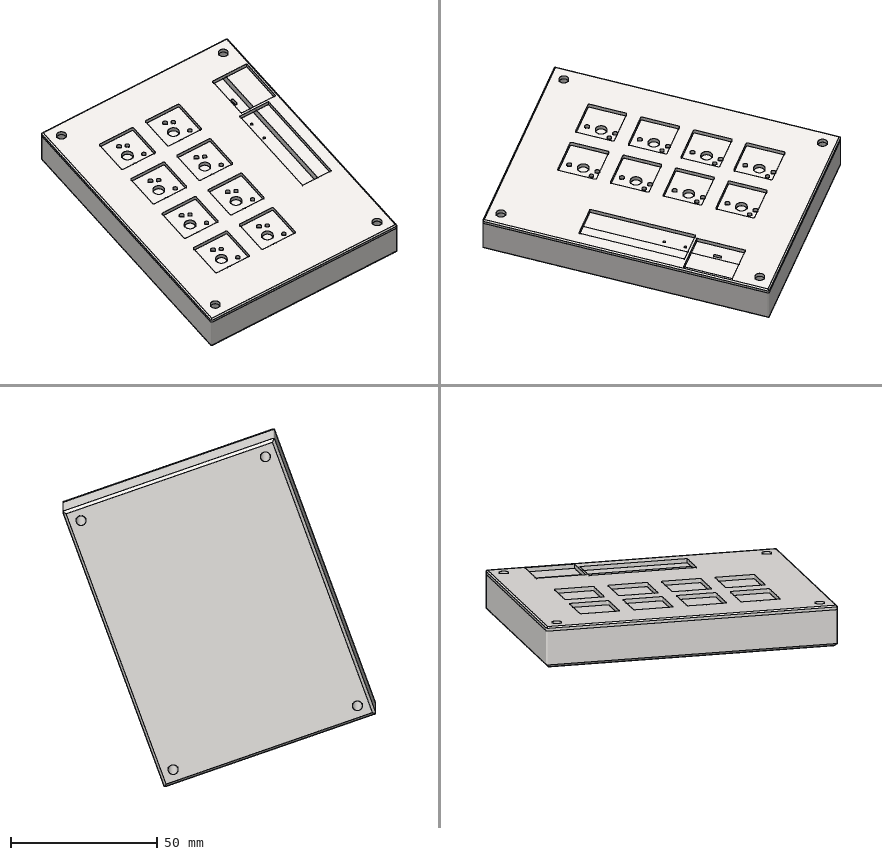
import cadquery as cq
length = 103.5
width = 77.0
height = 14.5
plate_thickness = 1.5
case_height = height - plate_thickness
corner_radius = 0.5
plate_chamfer = 0.5
case_chamfer = 1.0

screw_diameter = 3.4
screw_inset = 5.0

key_columns = 4
key_rows = 2
key_pitch = 19.05
grid_center_x = -0.5
grid_center_y = -8.7
key_cutout = 14.0
key_cutout_radius = 0.5

switch_holes = [
    (4.0, 0.0, 0.0),
    (1.7, -5.08, 0.0),
    (1.7, 5.08, 0.0),
    (1.5, -3.81, 2.54),
    (1.5, 2.54, 5.08),
]

controller_length = 17.6
controller_width = 14.2
controller_x = -29.3
controller_y = 30.2
display_length = 38.2
display_width = 11.9
display_x = -0.55
display_y = 27.8

wall_x = 8.5
wall_y = 3.0
floor_thickness = 3.0
pocket_length = length - 2 * wall_x
pocket_width = width - 2 * wall_y
ledge_front_y = 28.9
ledge_right_x = 19.3

board_thickness = 1.6
board_top_z = 10.9
board_clearance = 0.4
slot_length = 2.8
slot_width = 1.0
slot_x = -28.8
slot_y = 25.7
lead_diameter = 0.8
lead_spacing = 7.62
lead_center_x = -13.2
lead_y = 25.0

key_centers = [
    (
        grid_center_x + (column - (key_columns - 1) / 2) * key_pitch,
        grid_center_y + (row - (key_rows - 1) / 2) * key_pitch,
    )
    for column in range(key_columns)
    for row in range(key_rows)
]


def block(size_x, size_y, size_z, center_x, center_y, bottom_z):
    """A box placed by the centre of its bottom face."""
    box = cq.Workplane("XY").box(size_x, size_y, size_z, centered=(True, True, False))
    return box.translate((center_x, center_y, bottom_z))


def screw_cutters():
    """Four full-height cylinders at the enclosure corners."""
    corners = cq.Workplane("XY").rect(length - 2 * screw_inset, width - 2 * screw_inset, forConstruction=True)
    return corners.vertices().circle(screw_diameter / 2).extrude(height)


def pocket_volume(bottom_z, depth, clearance):
    """The L-shaped inside of the case, shrunk all around by a clearance."""
    half_x = pocket_length / 2 - clearance
    half_y = pocket_width / 2 - clearance
    notch_x = ledge_right_x + clearance
    notch_y = ledge_front_y - clearance
    outline = [
        (-half_x, -half_y),
        (half_x, -half_y),
        (half_x, half_y),
        (notch_x, half_y),
        (notch_x, notch_y),
        (-half_x, notch_y),
    ]
    return cq.Workplane("XY").workplane(offset=bottom_z).polyline(outline).close().extrude(depth)


def build_case():
    """Open tray with a chamfered bottom edge."""
    body = block(length, width, case_height, 0, 0, 0)
    body = body.faces("<Z").edges().chamfer(case_chamfer)
    body = body.edges("|Z").fillet(corner_radius)
    body = body.cut(pocket_volume(floor_thickness, case_height - floor_thickness, 0))
    return body.cut(screw_cutters())


def build_plate():
    """Cover plate with key cutouts and the two windows."""
    body = block(length, width, plate_thickness, 0, 0, case_height)
    body = body.faces(">Z").edges().chamfer(plate_chamfer)
    body = body.edges("|Z").fillet(corner_radius)
    keys = cq.Workplane("XY").pushPoints(key_centers).rect(key_cutout, key_cutout).extrude(height)
    body = body.cut(keys.edges("|Z").fillet(key_cutout_radius))
    body = body.cut(block(controller_length, controller_width, height, controller_x, controller_y, 0))
    body = body.cut(block(display_length, display_width, height, display_x, display_y, 0))
    return body.cut(screw_cutters())


def build_board():
    """Circuit board with the switch footprints, a slot and two lead holes."""
    body = pocket_volume(board_top_z - board_thickness, board_thickness, board_clearance)
    for diameter, offset_x, offset_y in switch_holes:
        places = [(x + offset_x, y + offset_y) for x, y in key_centers]
        body = body.cut(cq.Workplane("XY").pushPoints(places).circle(diameter / 2).extrude(height))
    slot = cq.Workplane("XY").center(slot_x, slot_y).slot2D(slot_length, slot_width).extrude(height)
    leads = [(lead_center_x + side * lead_spacing / 2, lead_y) for side in (-1, 1)]
    lead_cutters = cq.Workplane("XY").pushPoints(leads).circle(lead_diameter / 2).extrude(height)
    return body.cut(slot).cut(lead_cutters)


case = build_case()
plate = build_plate()
board = build_board()

result = cq.Compound.makeCompound([case.val(), plate.val(), board.val()])